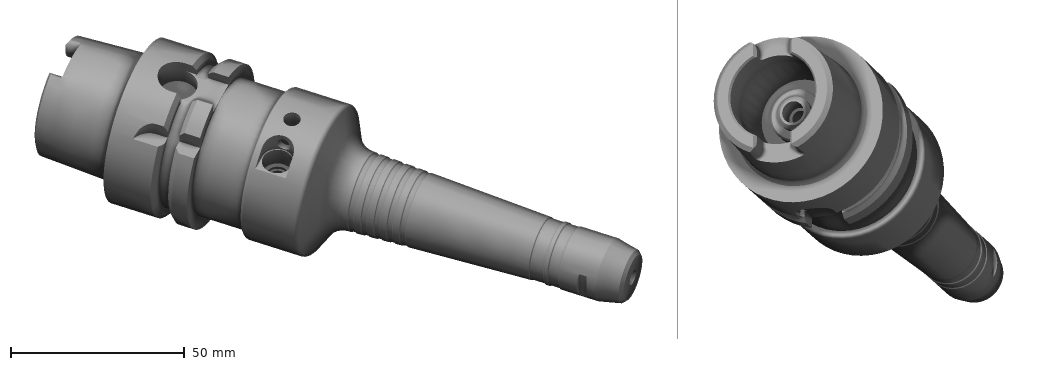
import cadquery as cq
import math

LENGTH = 180.0

CLEAR = 28.8

SHANK_END_R = 18.2
SHANK_BASE_R = 19.3
SHANK_CHAMFER_R = 16.7
SHANK_CHAMFER = 0.9
RELIEF_START = 22.9
RELIEF_R = 18.7
RELIEF_OUTER_R = 20.2

FLANGE_R = 25.0
FLANGE_START = 25.0
FLANGE_END = 51.1
GRIP_CHAMFER_START = 39.8
GRIP_START = 41.0
GRIP_END = 44.6
GRIP_CHAMFER_END = 46.3
GRIP_WALL_R = 23.5
GRIP_FLOOR_R = 21.6

NECK_R = 20.9
COLLAR_R = 23.0
COLLAR_START = 66.8
COLLAR_FRONT_ROUND = 0.9
COLLAR_ROUND_START = 83.9
COLLAR_REAR_ROUND = 1.5
SHOULDER_ANGLE = math.radians(62)
SHOULDER_SWEEP_R = 7.4

NOSE_START = 94.9
NOSE_START_R = 12.0
NOSE_CYLINDER_START = 151.4
NOSE_CYLINDER_R = 9.5
NOSE_CONE_START = 172.3
NOSE_CHAMFER_START = 179.0
NOSE_CHAMFER_R = 8.1
NOSE_TIP_R = 7.0

RING_COUNT = 5
RING_START = 95.8
RING_PITCH = 4.0
RING_WIDTH = 2.0
RING_DEPTH = 0.27
RING_FLANK = 0.27
TIP_BANDS = [(151.4, 156.0), (157.1, 160.7)]

MOUTH_R = 13.0
MOUTH_CHAMFER = 0.5
MOUTH_DEPTH = 9.9
CAVITY_FLOOR_R = 11.7
CAVITY_DEPTH = 24.3
NUT_R = 8.0
NUT_HEIGHT = 3.6
NUT_CHAMFER = 0.5
TUBE_R = 5.0
TUBE_TIP_R = 4.0
TUBE_HEIGHT = 6.3
TUBE_BORE_R = 3.2
COOLANT_R = 2.3

KEY_HALF_WIDTH = 5.0
KEY_DEPTH_TOP = 4.5
KEY_DEPTH_BOTTOM = 7.2
KEY_FLARE_R = 2.9
KEY_FLARE_TOP = 16.7
KEY_CORNER_R = 0.9
KEY_CHAMFER = 0.9

FLANGE_SLOT_WIDTH = 11.5
FLANGE_SLOT_X = 37.6
FLANGE_SLOT_FLOOR = 21.0
FLANGE_HOLE_FLOOR = 16.2
NOTCH_WALL = 15.3
NOTCH_FLOOR = 15.5

COLLAR_HOLE_X = 73.8
POCKET_DIA = 9.5
POCKET_Y = -11.7
POCKET_FLOOR = 15.8
SCREW_STEPS = [(9.0, 9.9), (6.5, 9.0), (5.0, 7.2)]
SIDE_HOLE_DIA = 4.1
SIDE_HOLE_Z = 18.4
SIDE_HOLE_DEPTH = 1.8
SMALL_HOLE_DIA = 5.0
SMALL_HOLE_Y = -0.9
SMALL_HOLE_FLOOR = 17.1
DRILL_TIP_SLOPE = 0.6

WRENCH_X = 168.0
WRENCH_FLOOR_WIDTH = 2.3
WRENCH_TOP_WIDTH = 3.0
WRENCH_DEPTH = 1.0


def nose_radius(x):
    """Radius of the slim taper at position x."""
    slope = (NOSE_START_R - NOSE_CYLINDER_R) / (NOSE_CYLINDER_START - NOSE_START)
    return max(NOSE_CYLINDER_R, NOSE_START_R - slope * (x - NOSE_START))


def revolve_about_x(profile):
    return profile.close().revolve(360, (0, 0, 0), (1, 0, 0))


def turned_body():
    taper = math.atan2(NOSE_START_R - NOSE_CYLINDER_R, NOSE_CYLINDER_START - NOSE_START)

    sweep_x = NOSE_START + SHOULDER_SWEEP_R * math.sin(taper)
    sweep_r = NOSE_START_R + SHOULDER_SWEEP_R * math.cos(taper)

    def on_sweep(angle):
        return sweep_x - SHOULDER_SWEEP_R * math.sin(angle), sweep_r - SHOULDER_SWEEP_R * math.cos(angle)

    def on_round(angle):
        return (COLLAR_ROUND_START + COLLAR_REAR_ROUND * math.sin(angle),
                COLLAR_R - COLLAR_REAR_ROUND * (1 - math.cos(angle)))

    front_mid = COLLAR_FRONT_ROUND * (1 - math.sqrt(0.5))
    profile = (
        cq.Workplane("XY")
        .moveTo(0, 0)
        .lineTo(0, SHANK_CHAMFER_R)
        .lineTo(SHANK_CHAMFER, SHANK_END_R)
        .lineTo(RELIEF_START, SHANK_BASE_R)
        .lineTo((RELIEF_START + FLANGE_START) / 2, RELIEF_R)
        .lineTo(FLANGE_START, RELIEF_OUTER_R)
        .lineTo(FLANGE_START, FLANGE_R)
        .lineTo(GRIP_CHAMFER_START, FLANGE_R)
        .lineTo(GRIP_START, GRIP_WALL_R)
        .lineTo(GRIP_START, GRIP_FLOOR_R)
        .lineTo(GRIP_END, GRIP_FLOOR_R)
        .lineTo(GRIP_END, GRIP_WALL_R)
        .lineTo(GRIP_CHAMFER_END, FLANGE_R)
        .lineTo(FLANGE_END, FLANGE_R)
        .lineTo(FLANGE_END, NECK_R)
        .lineTo(COLLAR_START, NECK_R)
        .lineTo(COLLAR_START, COLLAR_R - COLLAR_FRONT_ROUND)
        .threePointArc((COLLAR_START + front_mid, COLLAR_R - front_mid),
                       (COLLAR_START + COLLAR_FRONT_ROUND, COLLAR_R))
        .lineTo(COLLAR_ROUND_START, COLLAR_R)
        .threePointArc(on_round(SHOULDER_ANGLE / 2), on_round(SHOULDER_ANGLE))
        .lineTo(*on_sweep(SHOULDER_ANGLE))
        .threePointArc(on_sweep((SHOULDER_ANGLE + taper) / 2), (NOSE_START, NOSE_START_R))
        .lineTo(NOSE_CYLINDER_START, NOSE_CYLINDER_R)
        .lineTo(NOSE_CONE_START, NOSE_CYLINDER_R)
        .lineTo(NOSE_CHAMFER_START, NOSE_CHAMFER_R)
        .lineTo(LENGTH, NOSE_TIP_R)
        .lineTo(LENGTH, 0)
    )
    return revolve_about_x(profile)


def ring_cutter(start, end):
    """Shallow ring with 45-degree flanks whose floor follows the nose surface."""
    profile = (
        cq.Workplane("XY")
        .moveTo(start + RING_FLANK, nose_radius(start) - RING_DEPTH)
        .lineTo(end - RING_FLANK, nose_radius(end) - RING_DEPTH)
        .lineTo(end + RING_FLANK, nose_radius(end) + RING_DEPTH)
        .lineTo(start - RING_FLANK, nose_radius(start) + RING_DEPTH)
    )
    return revolve_about_x(profile)


def cavity_cutter():
    """Shank cavity that leaves the coolant nut and tube standing on its floor."""
    nut_face = CAVITY_DEPTH - NUT_HEIGHT
    tube_tip = CAVITY_DEPTH - TUBE_HEIGHT
    tube_chamfer = TUBE_R - TUBE_TIP_R
    profile = (
        cq.Workplane("XY")
        .moveTo(0, 0)
        .lineTo(0, MOUTH_R + MOUTH_CHAMFER)
        .lineTo(MOUTH_CHAMFER, MOUTH_R)
        .lineTo(MOUTH_DEPTH, MOUTH_R)
        .lineTo(CAVITY_DEPTH, CAVITY_FLOOR_R)
        .lineTo(CAVITY_DEPTH, NUT_R)
        .lineTo(nut_face + NUT_CHAMFER, NUT_R)
        .lineTo(nut_face, NUT_R - NUT_CHAMFER)
        .lineTo(nut_face, TUBE_R)
        .lineTo(tube_tip + tube_chamfer, TUBE_R)
        .lineTo(tube_tip, TUBE_TIP_R)
        .lineTo(tube_tip, TUBE_BORE_R)
        .lineTo(CAVITY_DEPTH, TUBE_BORE_R)
        .lineTo(CAVITY_DEPTH, COOLANT_R)
        .lineTo(LENGTH, COOLANT_R)
        .lineTo(LENGTH, 0)
    )
    return revolve_about_x(profile)


def key_slot_cutter(depth):
    """Drive slot on the +Z side, its flanks rounded outwards at the shank surface."""
    flare_base = KEY_FLARE_TOP - KEY_FLARE_R
    mid = KEY_FLARE_R * math.sqrt(0.5)
    flare_half_width = KEY_HALF_WIDTH + KEY_FLARE_R
    flare_mid = (flare_half_width - mid, flare_base + mid)
    return (
        cq.Workplane("YZ")
        .moveTo(-KEY_HALF_WIDTH, 0)
        .lineTo(KEY_HALF_WIDTH, 0)
        .lineTo(KEY_HALF_WIDTH, flare_base)
        .threePointArc(flare_mid, (flare_half_width, KEY_FLARE_TOP))
        .lineTo(flare_half_width, CLEAR)
        .lineTo(-flare_half_width, CLEAR)
        .lineTo(-flare_half_width, KEY_FLARE_TOP)
        .threePointArc((-flare_mid[0], flare_mid[1]), (-KEY_HALF_WIDTH, flare_base))
        .close()
        .extrude(depth)
        .faces(">X")
        .edges("not(<Z or >Z)")
        .fillet(KEY_CORNER_R)
    )


def key_chamfer_cutter():
    """Wedge that breaks the front edges of both drive slots."""
    wide = KEY_HALF_WIDTH + KEY_CHAMFER
    return (
        cq.Workplane("XY")
        .polyline([(0, -wide), (0, wide), (KEY_CHAMFER, KEY_HALF_WIDTH), (KEY_CHAMFER, -KEY_HALF_WIDTH)])
        .close()
        .extrude(CLEAR, both=True)
    )


def vertical_cylinder(x, y, diameter, floor):
    """Cylinder along Z from the given floor to above the part."""
    return cq.Workplane("XY", origin=(x, y, floor)).circle(diameter / 2).extrude(CLEAR - floor)


def round_end_slot(y, floor):
    """Flange slot running from its round end to the rear face of the flange."""
    run = FLANGE_END - FLANGE_SLOT_X
    straight = cq.Workplane("XY").box(run, FLANGE_SLOT_WIDTH, CLEAR - floor, centered=(False, True, False))
    straight = straight.translate((FLANGE_SLOT_X, y, floor))
    return straight.union(vertical_cylinder(FLANGE_SLOT_X, y, FLANGE_SLOT_WIDTH, floor))


def flange_drive_cutter():
    hole = vertical_cylinder(FLANGE_SLOT_X, 0, FLANGE_SLOT_WIDTH, FLANGE_HOLE_FLOOR)
    return round_end_slot(0, FLANGE_SLOT_FLOOR).union(hole)


def drilled_hole(x, y, diameter, floor):
    """Vertical hole with a conical drill tip below its floor."""
    radius = diameter / 2
    tip = (
        cq.Workplane("XZ", origin=(x, y, floor))
        .polyline([(0, -radius * DRILL_TIP_SLOPE), (radius, 0), (0, 0)])
        .close()
        .revolve(360, (0, 0, 0), (0, 1, 0))
    )
    return vertical_cylinder(x, y, diameter, floor).union(tip)


def collar_pocket_cutter():
    """U-shaped pocket open towards -Y, with a stepped screw hole and a side hole."""
    pocket = vertical_cylinder(COLLAR_HOLE_X, POCKET_Y, POCKET_DIA, POCKET_FLOOR)
    pocket_height = CLEAR - POCKET_FLOOR
    opening = cq.Workplane("XY").box(POCKET_DIA, COLLAR_R, pocket_height, centered=(True, False, False))
    pocket = pocket.union(opening.translate((COLLAR_HOLE_X, POCKET_Y - COLLAR_R, POCKET_FLOOR)))
    for diameter, floor in SCREW_STEPS[:-1]:
        pocket = pocket.union(vertical_cylinder(COLLAR_HOLE_X, POCKET_Y, diameter, floor))
    pocket = pocket.union(drilled_hole(COLLAR_HOLE_X, POCKET_Y, *SCREW_STEPS[-1]))
    side_hole = (
        cq.Workplane("XZ", origin=(COLLAR_HOLE_X, POCKET_Y, SIDE_HOLE_Z))
        .circle(SIDE_HOLE_DIA / 2)
        .extrude(-(POCKET_DIA / 2 + SIDE_HOLE_DEPTH))
    )
    return pocket.union(side_hole)


def wrench_slot_cutter():
    """Flat-bottomed slot on the -Y side of the nose, wider at the surface."""
    floor = -(NOSE_CYLINDER_R - WRENCH_DEPTH)
    half_floor = WRENCH_FLOOR_WIDTH / 2
    half_top = WRENCH_TOP_WIDTH / 2
    return (
        cq.Workplane("XY")
        .moveTo(WRENCH_X - half_floor, floor)
        .lineTo(WRENCH_X + half_floor, floor)
        .lineTo(WRENCH_X + half_top, -NOSE_CYLINDER_R)
        .lineTo(WRENCH_X - half_top, -NOSE_CYLINDER_R)
        .close()
        .extrude(NOSE_CYLINDER_R, both=True)
    )


result = turned_body().cut(cavity_cutter())

for ring in range(RING_COUNT):
    ring_x = RING_START + ring * RING_PITCH
    result = result.cut(ring_cutter(ring_x, ring_x + RING_WIDTH))
for band_start, band_end in TIP_BANDS:
    result = result.cut(ring_cutter(band_start, band_end))

result = result.cut(key_slot_cutter(KEY_DEPTH_TOP))
result = result.cut(key_slot_cutter(KEY_DEPTH_BOTTOM).mirror("XY"))
result = result.cut(key_chamfer_cutter())

result = result.cut(flange_drive_cutter())
result = result.cut(flange_drive_cutter().mirror("XY"))
result = result.cut(round_end_slot(-NOTCH_WALL - FLANGE_SLOT_WIDTH / 2, NOTCH_FLOOR))

result = result.cut(collar_pocket_cutter())
result = result.cut(drilled_hole(COLLAR_HOLE_X, SMALL_HOLE_Y, SMALL_HOLE_DIA, SMALL_HOLE_FLOOR))

result = result.cut(wrench_slot_cutter())
result = result.cut(wrench_slot_cutter().mirror("XZ"))